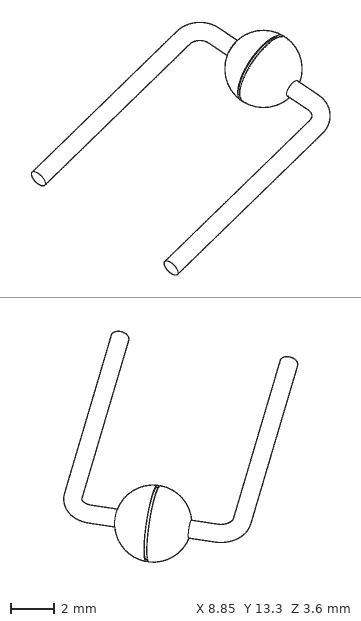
import cadquery as cq
import math

overall_width = 8.85
overall_length = 13.31
bead_diameter = 3.6

wire_diameter = 0.85
bend_radius = 1.0
groove_width = 0.13
groove_depth = 0.09

bead_radius = bead_diameter / 2
leg_x = (overall_width - wire_diameter) / 2
leg_end_y = bead_radius - overall_length


def make_wire():
    """Round wire bent into a U, running through the bead at the origin."""
    bend_start_x = leg_x - bend_radius
    path = (
        cq.Workplane("XY")
        .moveTo(-leg_x, leg_end_y)
        .lineTo(-leg_x, -bend_radius)
        .tangentArcPoint((-bend_start_x, 0), relative=False)
        .lineTo(bend_start_x, 0)
        .tangentArcPoint((leg_x, -bend_radius), relative=False)
        .lineTo(leg_x, leg_end_y)
    )
    leg_end = cq.Workplane("XZ", origin=(-leg_x, leg_end_y, 0))
    return leg_end.circle(wire_diameter / 2).sweep(path)


def make_bead():
    """Ball with a narrow groove around its middle, revolved about the X axis."""
    groove_edge_x = groove_width / 2
    groove_floor = bead_radius - groove_depth
    rim = math.sqrt(bead_radius**2 - groove_edge_x**2)
    arc_mid = bead_radius * math.sqrt(0.5)
    return (
        cq.Workplane("XY")
        .moveTo(-bead_radius, 0)
        .threePointArc((-arc_mid, arc_mid), (-groove_edge_x, rim))
        .lineTo(-groove_edge_x, groove_floor)
        .lineTo(groove_edge_x, groove_floor)
        .lineTo(groove_edge_x, rim)
        .threePointArc((arc_mid, arc_mid), (bead_radius, 0))
        .close()
        .revolve(360, (0, 0, 0), (1, 0, 0))
    )


result = make_bead().union(make_wire())